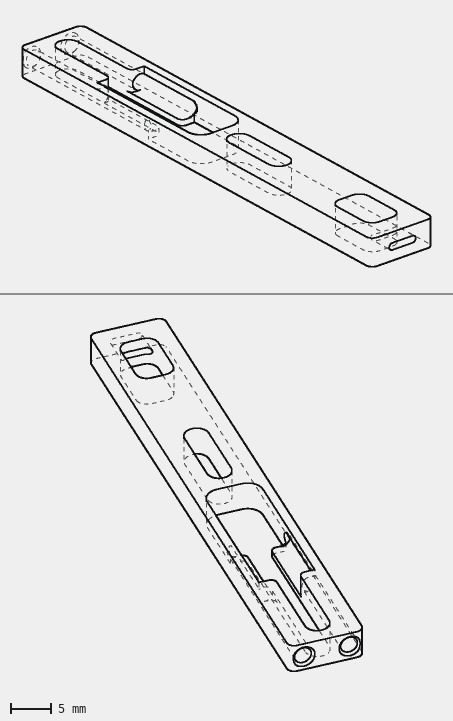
import cadquery as cq

length = 70.0
width = 10.0
height = 4.0
corner_radius = 1.0

slot_width = 3.2
long_slot_start = 1.9
short_slot_start = 36.0
short_slot_end = 47.0
wide_window_start = 24.0
wide_window_end = 34.0
wide_window_width = 7.4
wide_window_radius = 2.0
end_window_start = 58.7
end_window_end = 66.7
end_window_width = 5.0
end_window_radius = 1.5

bore_offset = 3.1
bore_radius = 1.1
bore_end = 23.9
bore_tip_length = 1.7
bore_z = height / 2
countersink_radius = 1.5
countersink_depth = countersink_radius - bore_radius

ledge_start = 14.0
ledge_height = bore_z - bore_radius
ledge_corner_radius = 0.8

end_slot_width = 4.2
end_slot_height = 1.0


def block(start, end, across, bottom=0.0):
    """Box between two X limits, centred on Y, from bottom to the top of the bar."""
    return cq.Workplane("XY", origin=(start, 0, bottom)).box(
        end - start, across, height - bottom, centered=(False, True, False)
    )


def slot(start, end):
    """Full-round slot cutter through the bar."""
    return cq.Workplane("XY").center((start + end) / 2, 0).slot2D(end - start, slot_width).extrude(height)


def bore(side):
    """Countersunk blind bore with a conical tip; side is +1 or -1 along Y."""
    profile = [
        (0, 0),
        (0, countersink_radius),
        (countersink_depth, bore_radius),
        (bore_end, bore_radius),
        (bore_end + bore_tip_length, 0),
    ]
    cutter = cq.Workplane("XY").polyline(profile).close().revolve(360, (0, 0), (1, 0))
    return cutter.translate((0, side * bore_offset, bore_z))


def round_ledge_corners(body):
    """Round the convex corners where the long slot meets the recesses and the wide window."""
    reach = ledge_corner_radius / 2
    for x in (ledge_start, wide_window_start):
        for y in (-slot_width / 2, slot_width / 2):
            corner = cq.selectors.BoxSelector((x - reach, y - reach, 0), (x + reach, y + reach, height))
            body = body.edges("|Z").edges(corner).fillet(ledge_corner_radius)
    return body


result = block(0, length, width).edges("|Z").fillet(corner_radius)
result = result.cut(slot(long_slot_start, wide_window_end - wide_window_radius))
result = result.cut(slot(short_slot_start, short_slot_end))
end_window = block(end_window_start, end_window_end, end_window_width)
result = result.cut(end_window.edges("|Z").fillet(end_window_radius))

wide_window = block(wide_window_start, wide_window_end, wide_window_width)
result = result.cut(wide_window.edges("|Z and >X").fillet(wide_window_radius))

result = result.cut(block(ledge_start, wide_window_start, 2 * bore_offset, ledge_height))
result = result.cut(block(ledge_start, wide_window_start, wide_window_width, bore_z))
result = round_ledge_corners(result)

for side in (-1, 1):
    result = result.cut(bore(side))

end_slot_start = end_window_end - end_window_radius
end_slot = (
    cq.Workplane("YZ", origin=(end_slot_start, 0, height / 2))
    .slot2D(end_slot_width, end_slot_height)
    .extrude(length - end_slot_start)
)
result = result.cut(end_slot)